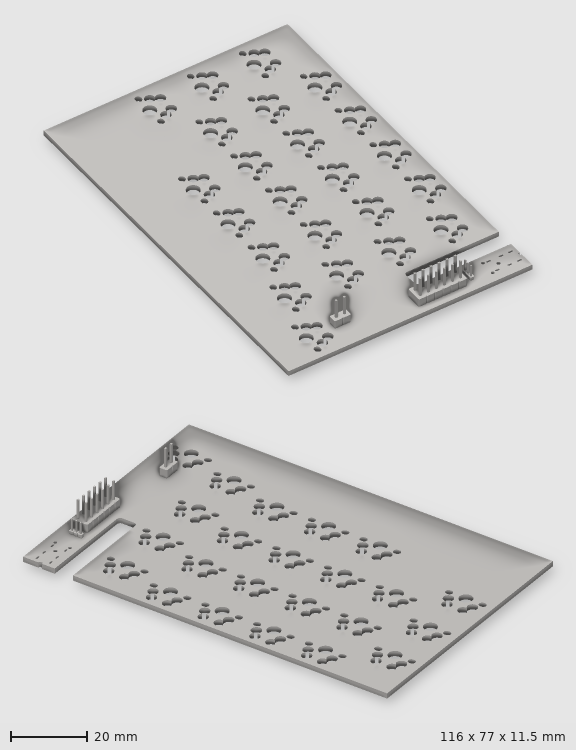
import cadquery as cq

BOARD_LENGTH = 116.0
BOARD_WIDTH = 77.0
BOARD_THICKNESS = 1.6
BOARD_TOP = 0.0
BACK_EDGE = BOARD_WIDTH / 2

CUTOUT_LEFT = 42.1
CUTOUT_WIDTH = 5.8
CUTOUT_DEPTH = 29.9
CUTOUT_RADIUS = 1.0

KEY_PITCH = 16.5
FIRST_COLUMN_X = -49.3
FIRST_ROW_Y = BACK_EDGE - 8.1
KEY_COLUMNS = [
    (3, KEY_PITCH / 2),
    (3, 0),
    (4, 0),
    (4, 0),
    (4, 0),
    (4, KEY_PITCH / 4),
    (1, 3.5 * KEY_PITCH),
]

CENTRE_HOLE_DIAMETER = 4.0
CONTACT_HOLE_DIAMETER = 3.0
UPPER_CONTACT = (2.5, 5.1)
LOWER_CONTACT = (3.8, 2.5)
SIDE_SLOT_X = 5.3
SIDE_SLOT_LENGTH = 2.2
SIDE_SLOT_WIDTH = 1.9

JACK_X = 52.5
LOCATING_HOLE_DIAMETER = 1.2
LOCATING_HOLE_SPACING = 7.1
LEAD_SLOT_X = 2.1
LEAD_SLOT_LENGTH = 1.4
LEAD_SLOT_WIDTH = 0.5
LEAD_SLOT_DISTANCES = [1.9, 4.9, 8.8]
LEAD_HOLE_DIAMETER = 1.0
LEAD_HOLE_X = 2.3
LEAD_HOLE_DISTANCE = 10.4

PIN_PITCH = 2.5
PIN_WIDTH = 0.6
PIN_TIP_CHAMFER = PIN_WIDTH / 4
PIN_TOP = 8.6
PIN_BOTTOM = -2.9
BASE_HEIGHT = PIN_PITCH
BASE_CHAMFER = PIN_PITCH / 10
DOUBLE_HEADER_CENTRE = (53.0, 12.0)
DOUBLE_HEADER_ROWS = 6
DOUBLE_HEADER_COLUMNS = 2
SINGLE_HEADER_CENTRE = (49.3, -16.4)
SINGLE_HEADER_ROWS = 2

SMALL_PIN_COUNT = 3
SMALL_PIN_PITCH = 1.4
SMALL_PIN_WIDTH = 0.41
SMALL_PIN_TIP_CHAMFER = SMALL_PIN_WIDTH / 4
SMALL_PIN_TOP = 4.6
SMALL_BASE_WIDTH = 1.3
SMALL_BASE_HEIGHT = 1.0
SMALL_BASE_CHAMFER = 0.17
SMALL_PINS_CENTRE = (52.3, 22.0)


def line_positions(count, pitch):
    """Positions of equally spaced items, centred on zero."""
    return [(i - (count - 1) / 2) * pitch for i in range(count)]


def pin_grid(centre, columns, rows):
    return [
        (centre[0] + x, centre[1] + y)
        for x in line_positions(columns, PIN_PITCH)
        for y in line_positions(rows, PIN_PITCH)
    ]


DOUBLE_HEADER_PINS = pin_grid(DOUBLE_HEADER_CENTRE, DOUBLE_HEADER_COLUMNS, DOUBLE_HEADER_ROWS)
SINGLE_HEADER_PINS = pin_grid(SINGLE_HEADER_CENTRE, 1, SINGLE_HEADER_ROWS)
SMALL_PINS = [
    (SMALL_PINS_CENTRE[0] + x, SMALL_PINS_CENTRE[1])
    for x in line_positions(SMALL_PIN_COUNT, SMALL_PIN_PITCH)
]


def at_board_bottom(points):
    return cq.Workplane("XY", origin=(0, 0, BOARD_TOP - BOARD_THICKNESS)).pushPoints(points)


def round_holes(points, diameter):
    return at_board_bottom(points).circle(diameter / 2).extrude(BOARD_THICKNESS)


def slots(points, length, width, angle):
    return at_board_bottom(points).slot2D(length, width, angle).extrude(BOARD_THICKNESS)


def key_centres():
    centres = []
    for column, (count, offset) in enumerate(KEY_COLUMNS):
        x = FIRST_COLUMN_X + column * KEY_PITCH
        for row in range(count):
            centres.append((x, FIRST_ROW_Y - offset - row * KEY_PITCH))
    return centres


def cut_key_holes(board):
    centres = key_centres()
    mirrored = [(x, y, side) for x, y in centres for side in (-1, 1)]
    board = board.cut(round_holes(centres, CENTRE_HOLE_DIAMETER))
    for dx, dy in (UPPER_CONTACT, LOWER_CONTACT):
        points = [(x + side * dx, y + dy) for x, y, side in mirrored]
        board = board.cut(round_holes(points, CONTACT_HOLE_DIAMETER))
    points = [(x + side * SIDE_SLOT_X, y) for x, y, side in mirrored]
    return board.cut(slots(points, SIDE_SLOT_LENGTH, SIDE_SLOT_WIDTH, angle=0))


def cut_jack_holes(board):
    locating = [(JACK_X, BACK_EDGE), (JACK_X, BACK_EDGE - LOCATING_HOLE_SPACING)]
    board = board.cut(round_holes(locating, LOCATING_HOLE_DIAMETER))
    lead_slots = [
        (JACK_X + side * LEAD_SLOT_X, BACK_EDGE - distance)
        for side in (-1, 1)
        for distance in LEAD_SLOT_DISTANCES
    ]
    board = board.cut(slots(lead_slots, LEAD_SLOT_LENGTH, LEAD_SLOT_WIDTH, angle=90))
    lead_holes = [(JACK_X + side * LEAD_HOLE_X, BACK_EDGE - LEAD_HOLE_DISTANCE) for side in (-1, 1)]
    return board.cut(round_holes(lead_holes, LEAD_HOLE_DIAMETER))


def square_holes(points, width):
    return at_board_bottom(points).rect(width, width).extrude(BOARD_THICKNESS)


def cut_pin_holes(board):
    board = board.cut(square_holes(DOUBLE_HEADER_PINS + SINGLE_HEADER_PINS, PIN_WIDTH))
    return board.cut(square_holes(SMALL_PINS, SMALL_PIN_WIDTH))


def make_board():
    board = at_board_bottom([(0, 0)]).rect(BOARD_LENGTH, BOARD_WIDTH).extrude(BOARD_THICKNESS)
    cutout = (
        at_board_bottom([(CUTOUT_LEFT + CUTOUT_WIDTH / 2, BACK_EDGE)])
        .rect(CUTOUT_WIDTH, 2 * CUTOUT_DEPTH)
        .extrude(BOARD_THICKNESS)
        .edges("|Z")
        .fillet(CUTOUT_RADIUS)
    )
    board = board.cut(cutout)
    board = cut_key_holes(board)
    board = cut_jack_holes(board)
    return cut_pin_holes(board)


def make_base(x, y, length, width, height, chamfer):
    """Plastic block on the board with chamfered upright edges."""
    return (
        cq.Workplane("XY", origin=(x, y, BOARD_TOP))
        .rect(length, width)
        .extrude(height)
        .edges("|Z")
        .chamfer(chamfer)
    )


def make_pin(x, y, width, top, tip_chamfer):
    """Square pin with both tips chamfered."""
    return (
        cq.Workplane("XY", origin=(x, y, PIN_BOTTOM))
        .rect(width, width)
        .extrude(top - PIN_BOTTOM)
        .faces("<Z or >Z")
        .chamfer(tip_chamfer)
    )


def make_header(centre, columns, rows, pins):
    """Pin header: one chamfered base block per row, with square pins through it."""
    header = cq.Workplane("XY")
    for y in line_positions(rows, PIN_PITCH):
        block = make_base(
            centre[0], centre[1] + y, columns * PIN_PITCH, PIN_PITCH, BASE_HEIGHT, BASE_CHAMFER
        )
        header = header.union(block)
    for x, y in pins:
        header = header.union(make_pin(x, y, PIN_WIDTH, PIN_TOP, PIN_TIP_CHAMFER))
    return header


def make_small_pin(x, y):
    """Single square pin through its own eight-sided base."""
    base = make_base(
        x, y, SMALL_BASE_WIDTH, SMALL_BASE_WIDTH, SMALL_BASE_HEIGHT, SMALL_BASE_CHAMFER
    )
    return base.union(make_pin(x, y, SMALL_PIN_WIDTH, SMALL_PIN_TOP, SMALL_PIN_TIP_CHAMFER))


board = make_board()
double_header = make_header(
    DOUBLE_HEADER_CENTRE, DOUBLE_HEADER_COLUMNS, DOUBLE_HEADER_ROWS, DOUBLE_HEADER_PINS
)
single_header = make_header(SINGLE_HEADER_CENTRE, 1, SINGLE_HEADER_ROWS, SINGLE_HEADER_PINS)
small_pins = [make_small_pin(x, y) for x, y in SMALL_PINS]

result = cq.Compound.makeCompound(
    [
        board.val(),
        double_header.val(),
        single_header.val(),
        *[pin.val() for pin in small_pins],
    ]
)